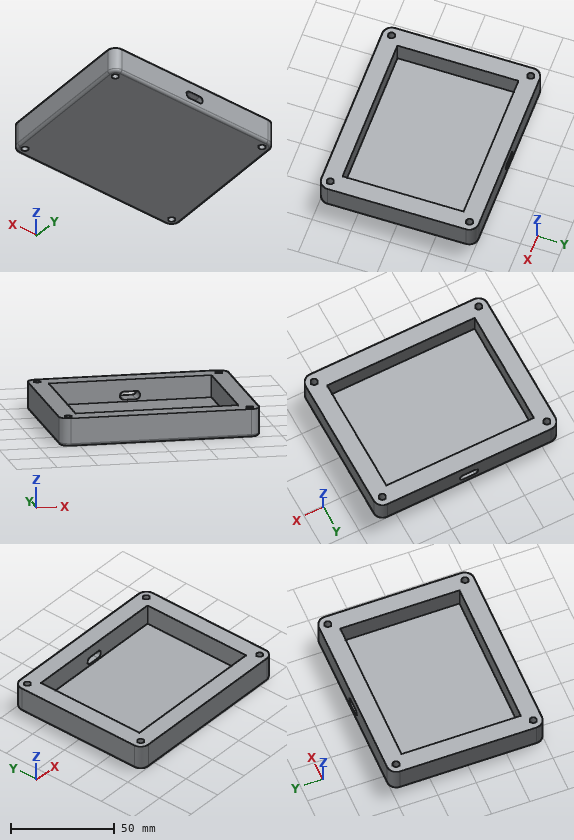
import cadquery as cq

length = 99.25
width = 80.8
height = 14.0
corner_radius = 4.9
bottom_fillet = 1.5

rim_width = 9.3
floor_thickness = 3.0
pocket_length = length - 2 * rim_width
pocket_width = width - 2 * rim_width

screw_diameter = 3.5
screw_inset = 4.7

slot_length = 9.9
slot_height = 4.0
slot_z = 6.0


def make_body():
    body = cq.Workplane("XY").box(length, width, height, centered=(True, True, False))
    return body.edges("|Z").fillet(corner_radius).faces("<Z").edges().fillet(bottom_fillet)


def make_pocket():
    return (
        cq.Workplane("XY")
        .workplane(offset=floor_thickness)
        .rect(pocket_length, pocket_width)
        .extrude(height - floor_thickness)
    )


def make_screw_holes():
    return (
        cq.Workplane("XY")
        .rect(length - 2 * screw_inset, width - 2 * screw_inset, forConstruction=True)
        .vertices()
        .circle(screw_diameter / 2)
        .extrude(height)
    )


def make_cable_slot():
    return (
        cq.Workplane("XZ")
        .workplane(offset=-pocket_width / 2)
        .center(0, slot_z)
        .slot2D(slot_length, slot_height)
        .extrude(-rim_width)
    )


result = make_body().cut(make_pocket()).cut(make_screw_holes()).cut(make_cable_slot())